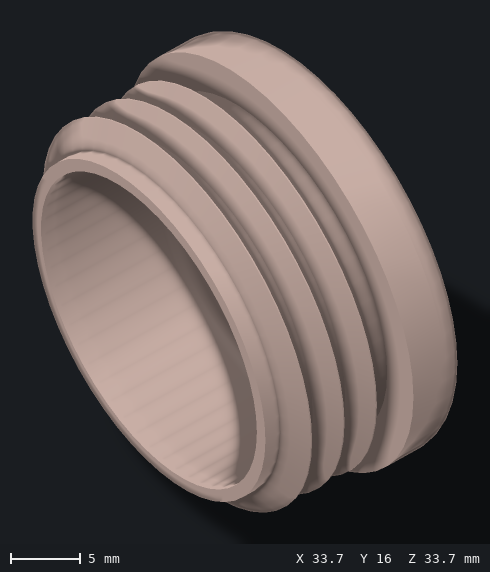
import cadquery as cq

cap_radius = 16.85
total_length = 16.0
cap_thickness = 5.0
cap_edge_radius = 2.0

stem_radius = 13.75
wall_thickness = 1.0
floor_thickness = cap_thickness
floor_fillet = 1.0

fin_radius = 15.85
fin_root_width = 1.28
fin_tip_width = 0.1
fin_count = 3
fin_pitch = 2.93
first_fin_offset = 2.53

stem_length = total_length - cap_thickness
bore_radius = stem_radius - wall_thickness
bore_depth = total_length - floor_thickness


def cylinder(radius, start, length):
    """Solid cylinder along +Y that starts at Y = start."""
    return cq.Workplane("XZ", origin=(0, start, 0)).circle(radius).extrude(-length)


def make_cap():
    """Round cap with a rounded outer edge."""
    cap = cylinder(cap_radius, stem_length, cap_thickness)
    return cap.faces(">Y").edges().fillet(cap_edge_radius)


def make_fin(flat_face):
    """Ring with a flat face towards the cap and a cone towards the open end."""
    profile = [
        (0, flat_face),
        (fin_radius, flat_face),
        (fin_radius, flat_face - fin_tip_width),
        (stem_radius, flat_face - fin_root_width),
        (0, flat_face - fin_root_width),
    ]
    return cq.Workplane("XY").polyline(profile).close().revolve(360, (0, 0, 0), (0, 1, 0))


def make_bore():
    """Blind bore whose bottom edge is rounded."""
    bore = cylinder(bore_radius, 0, bore_depth)
    return bore.faces(">Y").edges().fillet(floor_fillet)


plug = make_cap().union(cylinder(stem_radius, 0, stem_length))
for index in range(fin_count):
    plug = plug.union(make_fin(stem_length - first_fin_offset - index * fin_pitch))

result = plug.cut(make_bore())